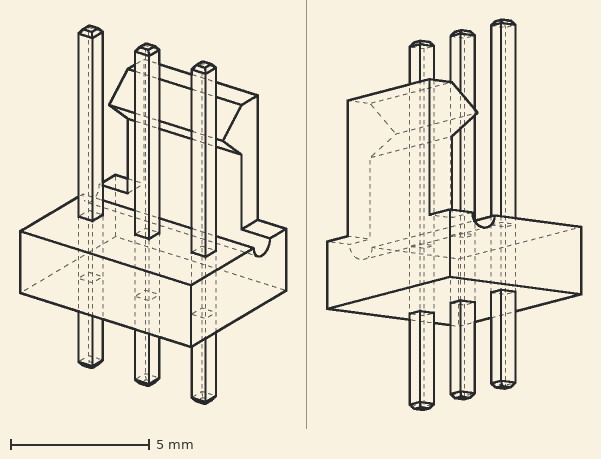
import cadquery as cq

base_width = 7.65
base_depth = 5.85
base_height = 2.48

latch_width = 5.1
latch_thickness = 1.0
latch_height = 5.0
hook_reach = 1.15
hook_half_height = latch_thickness
latch_top = base_height + latch_height

groove_radius = latch_thickness / 2

pin_count = 3
pin_pitch = 2.54
pin_size = 0.63
pin_length = 13.5
pin_tail = 3.51
pin_from_back = 3.3
taper_height = 0.16
taper_inset = 0.12


def pin_section(x, z, size):
    """Square wire across a pin, ready for extruding or lofting along Z."""
    return cq.Workplane("XY", origin=(x, -pin_from_back, z)).rect(size, size)


def make_pin(x):
    """One full-length pin with a tapered tip at each end."""
    tip_size = pin_size - 2 * taper_inset
    bottom = -pin_tail
    top = bottom + pin_length
    lower_tip = (
        pin_section(x, bottom, tip_size)
        .workplane(offset=taper_height)
        .rect(pin_size, pin_size)
        .loft(combine=True)
    )
    shaft = pin_section(x, bottom + taper_height, pin_size).extrude(pin_length - 2 * taper_height)
    upper_tip = (
        pin_section(x, top - taper_height, pin_size)
        .workplane(offset=taper_height)
        .rect(tip_size, tip_size)
        .loft(combine=True)
    )
    return shaft.union(lower_tip).union(upper_tip)


def make_latch():
    """Latch wall and its triangular hook, as one profile extruded along X."""
    front = -latch_thickness
    profile = [
        (0, 0),
        (0, latch_top),
        (front, latch_top),
        (front - hook_reach, latch_top - hook_half_height),
        (front, latch_top - 2 * hook_half_height),
        (front, 0),
    ]
    return cq.Workplane("YZ").polyline(profile).close().extrude(latch_width / 2, both=True)


def make_housing():
    """Base and latch, with the relief groove and the pin holes cut out."""
    base = cq.Workplane("XY").box(base_width, base_depth, base_height, centered=(True, False, False))
    base = base.translate((0, -base_depth, 0))
    groove = (
        cq.Workplane("YZ")
        .center(-latch_thickness - groove_radius, base_height)
        .circle(groove_radius)
        .extrude(base_width / 2, both=True)
    )
    housing = base.cut(groove).union(make_latch())
    for x in pin_positions:
        housing = housing.cut(pin_section(x, 0, pin_size).extrude(base_height))
    return housing


pin_positions = [(i - (pin_count - 1) / 2) * pin_pitch for i in range(pin_count)]

housing = make_housing()
pins = [make_pin(x) for x in pin_positions]

result = cq.Compound.makeCompound([housing.val(), *[pin.val() for pin in pins]])